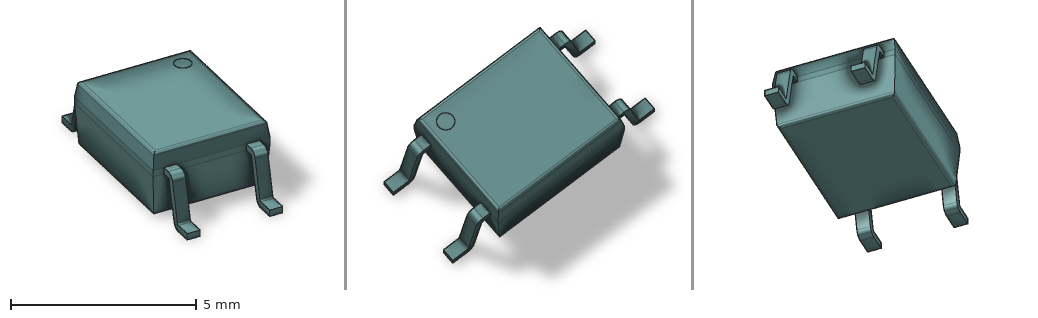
import cadquery as cq
import math

SPAN_X = 7.0
HEIGHT = 2.1
BODY_X = 4.395
BODY_Y = 3.6
STANDOFF = 0.1
BODY_EDGE_RADIUS = 0.1

TOP_DRAFT_X = 9.0
TOP_DRAFT_Y = 7.5
BOTTOM_DRAFT_X = 5.5
BOTTOM_DRAFT_Y = 3.3

LEAD_THICKNESS = 0.195
LEAD_WIDTH = 0.4
LEAD_PITCH = 2.54
LEAD_TOP = 1.59
LEAD_TILT = 13.0
SHOULDER_X = 2.64
BEND_INNER_RADIUS = 0.05
BEND_OUTER_RADIUS = BEND_INNER_RADIUS + LEAD_THICKNESS
LEAD_ROOT_DEPTH = 0.28

MARK_DIAMETER = 0.5
MARK_X = -1.58
MARK_Y = 1.2
MARK_DEPTH = 0.01

BAND_TOP = LEAD_TOP
BAND_BOTTOM = LEAD_TOP - LEAD_THICKNESS


def body_prism(plane, width, length, top_draft, bottom_draft):
    """Prism whose section is upright at the band and drafted above and below it."""
    half_band = width / 2
    half_top = half_band - (HEIGHT - BAND_TOP) * math.tan(math.radians(top_draft))
    half_bottom = half_band - (BAND_BOTTOM - STANDOFF) * math.tan(math.radians(bottom_draft))
    return (
        cq.Workplane(plane)
        .polyline([
            (-half_bottom, STANDOFF),
            (half_bottom, STANDOFF),
            (half_band, BAND_BOTTOM),
            (half_band, BAND_TOP),
            (half_top, HEIGHT),
            (-half_top, HEIGHT),
            (-half_band, BAND_TOP),
            (-half_band, BAND_BOTTOM),
        ])
        .close()
        .extrude(length / 2, both=True)
    )


def make_body():
    """Body drafted on all four sides, with rounded top and bottom rims."""
    drafted_in_x = body_prism("XZ", BODY_X, BODY_Y, TOP_DRAFT_X, BOTTOM_DRAFT_X)
    drafted_in_y = body_prism("YZ", BODY_Y, BODY_X, TOP_DRAFT_Y, BOTTOM_DRAFT_Y)
    body = drafted_in_x.intersect(drafted_in_y)
    return body.faces("<Z or >Z").edges().fillet(BODY_EDGE_RADIUS)


def make_lead():
    """Lead on the +X side, centred on Y = 0."""
    tilt = math.radians(LEAD_TILT)
    leg_run = (LEAD_TOP - LEAD_THICKNESS) * math.tan(tilt)
    corner_shift = LEAD_THICKNESS * math.tan((math.pi / 2 - tilt) / 2)

    root_x = BODY_X / 2 - LEAD_ROOT_DEPTH
    toe_x = SPAN_X / 2
    upper_outer = (SHOULDER_X, LEAD_TOP)
    upper_inner = (SHOULDER_X - corner_shift, BAND_BOTTOM)
    lower_inner = (SHOULDER_X + leg_run, LEAD_THICKNESS)
    lower_outer = (SHOULDER_X + leg_run - corner_shift, 0)

    lead = (
        cq.Workplane("XZ")
        .polyline([
            (root_x, LEAD_TOP),
            upper_outer,
            lower_inner,
            (toe_x, LEAD_THICKNESS),
            (toe_x, 0),
            lower_outer,
            upper_inner,
            (root_x, BAND_BOTTOM),
        ])
        .close()
        .extrude(LEAD_WIDTH / 2, both=True)
    )
    bends = [
        (upper_outer, BEND_OUTER_RADIUS),
        (lower_outer, BEND_OUTER_RADIUS),
        (upper_inner, BEND_INNER_RADIUS),
        (lower_inner, BEND_INNER_RADIUS),
    ]
    for (x, z), radius in bends:
        lead = lead.edges(cq.NearestToPointSelector((x, 0, z))).fillet(radius)
    return lead


def make_pin_one_mark():
    """Shallow disc to cut from the top face."""
    return (
        cq.Workplane("XY", origin=(MARK_X, MARK_Y, HEIGHT - MARK_DEPTH))
        .circle(MARK_DIAMETER / 2)
        .extrude(MARK_DEPTH)
    )


result = make_body().cut(make_pin_one_mark())
right_lead = make_lead()
left_lead = right_lead.mirror("YZ")
for lead_y in (-LEAD_PITCH / 2, LEAD_PITCH / 2):
    for lead in (left_lead, right_lead):
        result = result.union(lead.translate((0, lead_y, 0)))